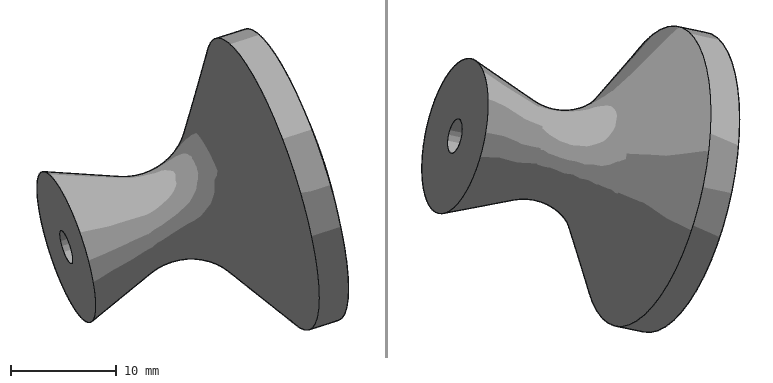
import cadquery as cq
import math

total_length = 25.0
head_radius = 14.5
rim_width = 3.0
dome_height = 2.0
foot_radius = 7.5

neck_radius = 4.42
neck_distance = 9.3
waist_arc_radius = 6.7

hole_diameter = 3.3
hole_depth = 12.0
drill_point_angle = 118.0
hole_radius = hole_diameter / 2

foot_y = 0.0
neck_y = foot_y + neck_distance
dome_top_y = foot_y + total_length
rim_front_y = dome_top_y - dome_height
rim_back_y = rim_front_y - rim_width

waist_centre_radius = neck_radius + waist_arc_radius


def waist_point(angle):
    """Point on the waist arc; the neck is at an angle of pi."""
    return (
        waist_centre_radius + waist_arc_radius * math.cos(angle),
        neck_y + waist_arc_radius * math.sin(angle),
    )


def waist_tangent_angle(corner, side):
    """Arc angle where the line from corner touches the waist; side is +1 (head) or -1 (foot)."""
    dr = corner[0] - waist_centre_radius
    dy = corner[1] - neck_y
    return math.atan2(dy, dr) + side * math.acos(waist_arc_radius / math.hypot(dr, dy))


def make_knob():
    """Revolve the half outline, drawn as (radius, y), about the Y axis."""
    foot_edge = (foot_radius, foot_y)
    rim_back_edge = (head_radius, rim_back_y)
    rim_front_edge = (head_radius, rim_front_y)

    foot_angle = waist_tangent_angle(foot_edge, -1)
    head_angle = waist_tangent_angle(rim_back_edge, 1)

    dome_radius = (head_radius**2 + dome_height**2) / (2 * dome_height)
    dome_half_angle = math.asin(head_radius / dome_radius) / 2
    dome_mid = (
        dome_radius * math.sin(dome_half_angle),
        dome_top_y - dome_radius * (1 - math.cos(dome_half_angle)),
    )

    outline = (
        cq.Workplane("XY")
        .moveTo(0, foot_y)
        .lineTo(*foot_edge)
        .lineTo(*waist_point(foot_angle))
        .threePointArc((neck_radius, neck_y), waist_point(head_angle))
        .lineTo(*rim_back_edge)
        .lineTo(*rim_front_edge)
        .threePointArc(dome_mid, (0, dome_top_y))
        .close()
    )
    return outline.revolve(360, (0, 0), (0, 1))


def make_screw_hole():
    """Drilled hole on the axis, revolved from its half outline."""
    point_length = hole_radius / math.tan(math.radians(drill_point_angle / 2))
    hole_end_y = foot_y + hole_depth
    outline = (
        cq.Workplane("XY")
        .moveTo(0, foot_y)
        .lineTo(hole_radius, foot_y)
        .lineTo(hole_radius, hole_end_y)
        .lineTo(0, hole_end_y + point_length)
        .close()
    )
    return outline.revolve(360, (0, 0), (0, 1))


result = make_knob().cut(make_screw_hole())